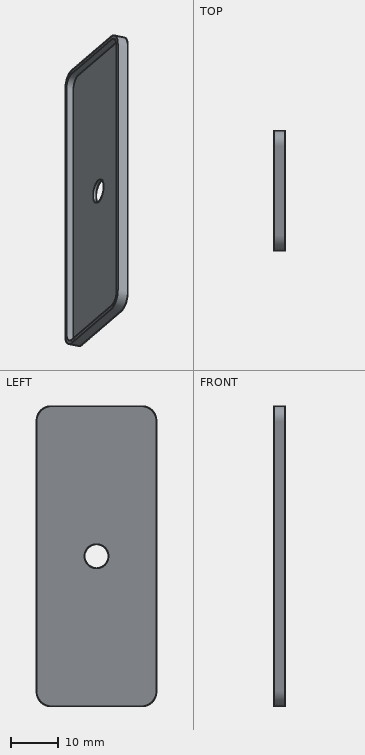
import cadquery as cq

depth = 2.35
width = 25.4
height = 63.5
corner_radius = 3.2
wall = 0.75
hole_diameter = 5.0

block = cq.Workplane("XY").box(depth, width, height)

rounded = block.edges("|X").fillet(corner_radius)

cover = rounded.faces(">X").shell(-wall)

result = cover.faces("<X").workplane().hole(hole_diameter)